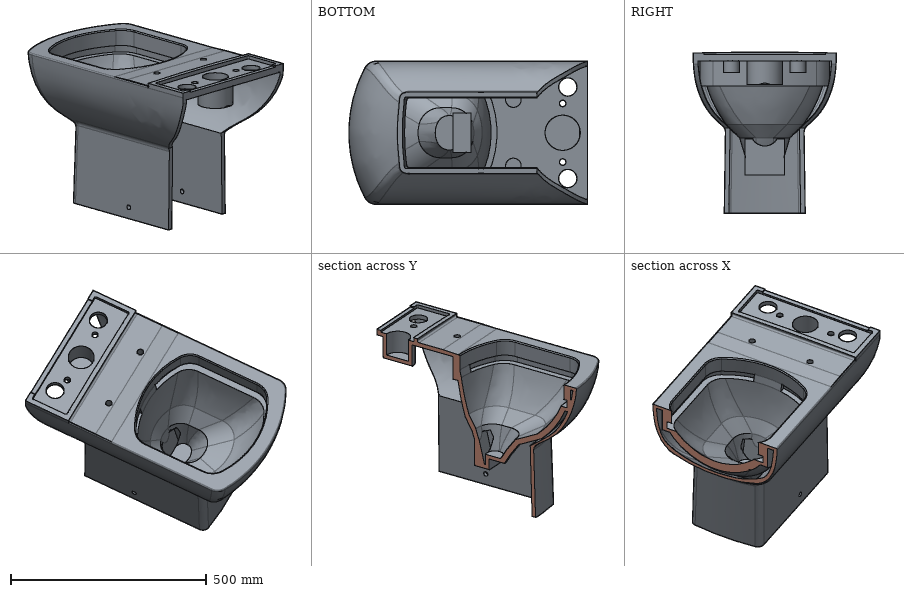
import cadquery as cq
import math

length = 610.67
half_width = 366.79 / 2
height = 413.0
rim_z = 401.0
rim_edge_radius = 3.0
wall = 12.0
overshoot = 20.0

bowl_front_radius = 356.0
bowl_levels = [
    (200.0, 131.0, 86.0),
    (216.0, 110.0, 100.0),
    (233.0, 86.0, 118.0),
    (257.0, 59.0, 141.0),
    (294.0, 32.0, 163.0),
    (333.0, 14.0, 176.0),
    (368.0, 4.0, 181.5),
    (rim_z - rim_edge_radius, 0.0, half_width),
    (rim_z, 0.0, half_width),
]
bowl_corner_low = 20.0
bowl_corner_high = 34.0

pedestal_rear_x = 481.0
pedestal_top_z = 235.0
pedestal_front_bottom = 124.5
pedestal_front_top = 132.0
pedestal_half_bottom = 103.8
pedestal_half_top = 100.5
pedestal_front_radius = 700.0
pedestal_corner = 18.0
neck_radius = 18.0

rear_curve = [
    (pedestal_rear_x, 218.0),
    (495.0, 232.0),
    (541.0, 267.0),
    (588.0, 326.0),
    (length, 382.0),
]

mouth_front, mouth_rear, mouth_half = 40.0, 357.0, 144.0
mouth_radius = 235.0
mouth_corner = 48.0
mouth = (mouth_front, mouth_rear, mouth_half, mouth_radius, mouth_corner)
lip_z = 358.0
ledge_z = 338.0
groove_depth = 10.0
groove_stop_half = 40.0
groove_stop_x = 300.0
basin_upper_levels = [
    (ledge_z, 48.0, 352.0, 136.5, 235.0, 50.0),
    (300.0, 68.0, 345.0, 122.0, 200.0, 56.0),
    (240.0, 120.0, 329.0, 87.0, 130.0, 58.0),
]
basin_sump_levels = [
    (205.0, 189.0, 308.0, 52.0, 75.0, 44.0),
    (165.0, 218.0, 293.0, 40.0, 60.0, 30.0),
    (140.0, 233.0, 281.0, 32.0, 45.0, 20.0),
]
outlet_front, outlet_rear, outlet_half = 279.0, 301.0, 38.0
outlet_bottom, outlet_top = 110.0, 190.0
outlet_floor_length = 2.0
mouth_edge_radius = 3.0

deck_z = 403.0
deck_start_x = 362.0
deck_crease_x = 408.0
plate_front_x = 486.0
plate_edge_z = 410.5
plate_rear_z = 411.0
step_fillet = 5.0
recess_floor_z = 402.0
recess_front, recess_rear, recess_half = 498.5, 598.0, 170.0
recess_corner = 4.0
rear_strip_z = 407.0
rear_strip_half = 155.0
deck_underside_z = recess_floor_z - wall

hinge_x, hinge_y, hinge_diameter = 421.0, 85.0, 16.0
bolt_x, bolt_y, bolt_diameter = 547.0, 75.0, 16.0
access_x, access_y, access_diameter = 560.0, 117.0, 46.0
flush_x, flush_diameter, flush_depth = 547.0, 66.0, 60.0
hinge_depth = 30.0
floor_bolt_x, floor_bolt_z, floor_bolt_diameter = 338.0, 30.5, 12.0


def corner_points(front, half, radius, corner):
    """Arc end, corner mid-point and side tangent of an arched end, for positive Y."""
    arc_center = front + radius
    corner_y = half - corner
    corner_x = arc_center - math.sqrt((radius - corner) ** 2 - corner_y**2)
    start = math.atan2(corner_y, arc_center - corner_x)
    middle = (start + math.pi / 2) / 2

    def on_corner(angle):
        return (corner_x - corner * math.cos(angle), corner_y + corner * math.sin(angle))

    return on_corner(start), on_corner(middle), (corner_x, half)


def mirrored(point):
    return (point[0], -point[1])


def arched_wire(z, front, rear, half, radius, corner):
    """Outline with an arched, round-cornered front and a square rear."""
    arc_end, bend, side = corner_points(front, half, radius, corner)
    return (
        cq.Workplane("XY", origin=(0, 0, z))
        .moveTo(*mirrored(arc_end))
        .threePointArc((front, 0), arc_end)
        .threePointArc(bend, side)
        .lineTo(rear, half)
        .lineTo(rear, -half)
        .lineTo(*mirrored(side))
        .threePointArc(mirrored(bend), mirrored(arc_end))
        .close()
        .val()
    )


def basin_wire(z, front, rear, half, radius, corner, grow=0.0):
    """Outline arched and round-cornered at both ends, optionally grown outwards."""
    front -= grow
    rear += grow
    half += grow
    radius += grow
    corner += grow
    front_end, front_bend, front_side = corner_points(front, half, radius, corner)

    def turned(point):
        return (front + rear - point[0], point[1])

    return (
        cq.Workplane("XY", origin=(0, 0, z))
        .moveTo(*mirrored(front_end))
        .threePointArc((front, 0), front_end)
        .threePointArc(front_bend, front_side)
        .lineTo(*turned(front_side))
        .threePointArc(turned(front_bend), turned(front_end))
        .threePointArc((rear, 0), mirrored(turned(front_end)))
        .threePointArc(mirrored(turned(front_bend)), mirrored(turned(front_side)))
        .lineTo(*mirrored(front_side))
        .threePointArc(mirrored(front_bend), mirrored(front_end))
        .close()
        .val()
    )


def loft(wires, ruled=False):
    return cq.Workplane(obj=cq.Solid.makeLoft(wires, ruled))


def box(x0, x1, half, z0, z1):
    corner_placed = (False, True, False)
    return cq.Workplane("XY", origin=(x0, 0, z0)).box(x1 - x0, 2 * half, z1 - z0, centered=corner_placed)


def cylinder(x, y, diameter, z0, z1):
    return cq.Workplane("XY", origin=(x, y, z0)).circle(diameter / 2).extrude(z1 - z0)


def bowl_loft(inset, rear):
    bottom_z = bowl_levels[0][0]
    wires = []
    for z, front, half in bowl_levels:
        rise = (z - bottom_z) / (rim_z - bottom_z)
        corner = bowl_corner_low + rise * (bowl_corner_high - bowl_corner_low)
        wires.append(
            arched_wire(z, front + inset, rear, half - inset, bowl_front_radius - inset, corner - inset)
        )
    return loft(wires)


def pedestal_loft(inset, rear):
    radius, corner = pedestal_front_radius - inset, pedestal_corner - inset
    bottom = arched_wire(
        0, pedestal_front_bottom + inset, rear, pedestal_half_bottom - inset, radius, corner
    )
    top = arched_wire(
        pedestal_top_z, pedestal_front_top + inset, rear, pedestal_half_top - inset, radius, corner
    )
    return loft([bottom, top], ruled=True)


def behind_rear_curve():
    """Everything behind the rear underside curve of the bowl."""
    far_x = length + overshoot
    low_z = -overshoot
    return (
        cq.Workplane("XZ")
        .moveTo(*rear_curve[0])
        .spline(rear_curve[1:], includeCurrent=True)
        .lineTo(far_x, rear_curve[-1][1])
        .lineTo(far_x, low_z)
        .lineTo(pedestal_rear_x, low_z)
        .close()
        .extrude(half_width + overshoot, both=True)
    )


def outer_body():
    bowl = bowl_loft(0, length).faces(">Z").edges("not >X").fillet(rim_edge_radius)
    bowl = bowl.cut(behind_rear_curve())
    body = bowl.union(pedestal_loft(0, pedestal_rear_x))
    neck_zone = cq.selectors.BoxSelector(
        (0, -half_width, bowl_levels[0][0] - neck_radius),
        (pedestal_rear_x - pedestal_corner, half_width, pedestal_top_z),
    )
    return body.edges(neck_zone).fillet(neck_radius)


def cavity():
    """Hollow under the deck and inside the pedestal, open to the floor and to the rear."""
    far_x = length + overshoot
    hollow = bowl_loft(wall, far_x).intersect(box(0, far_x, half_width, 0, deck_underside_z))
    return hollow.union(pedestal_loft(wall, far_x))


def deck():
    """Seat deck rising gently behind the mouth."""
    deck_half = half_width - rim_edge_radius
    return (
        cq.Workplane("XZ")
        .moveTo(deck_start_x, rim_z)
        .lineTo(deck_crease_x, deck_z)
        .lineTo(plate_front_x - step_fillet, deck_z)
        .radiusArc((plate_front_x, deck_z + step_fillet), -step_fillet)
        .lineTo(plate_front_x, deck_underside_z)
        .lineTo(deck_start_x, deck_underside_z)
        .close()
        .extrude(deck_half, both=True)
    )


def crowned_wire(x, edge_z, crown_z):
    return (
        cq.Workplane("YZ", origin=(x, 0, 0))
        .moveTo(-half_width, rim_z - rim_edge_radius)
        .lineTo(-half_width, edge_z)
        .threePointArc((0, crown_z), (half_width, edge_z))
        .lineTo(half_width, rim_z - rim_edge_radius)
        .close()
        .val()
    )


def cistern_plate():
    """Raised plate whose front edge is crowned, with a recess and a lowered rear strip."""
    front = crowned_wire(plate_front_x, plate_edge_z, height)
    rear = crowned_wire(length, plate_edge_z, plate_rear_z)
    plate = loft([front, rear], ruled=True)
    recess = box(recess_front, recess_rear, recess_half, recess_floor_z, height)
    recess = recess.edges("|Z").fillet(recess_corner)
    strip = box(recess_rear - recess_corner, length, rear_strip_half, rear_strip_z, height)
    return plate.cut(recess).cut(strip)


def basin_solid(grow):
    """Basin below the ledge: rounded upper part, ruled band and steeper sump."""

    def wires(levels):
        return [basin_wire(z - grow, *outline, grow=grow) for z, *outline in levels]

    upper = loft(wires(basin_upper_levels))
    band = loft(wires([basin_upper_levels[-1], basin_sump_levels[0]]), ruled=True)
    sump = loft(wires(basin_sump_levels))
    return upper.union(band).union(sump)


def basin_shell(body):
    """Solid stock around the mouth and basin, trimmed to the outer body."""
    collar_grow = groove_depth + wall
    collar_wires = [basin_wire(z, *mouth, grow=collar_grow) for z in (ledge_z - wall, rim_z)]
    basin = basin_solid(wall)
    outlet = box(
        outlet_front - wall, outlet_rear + wall, outlet_half + wall, outlet_bottom - wall, outlet_top
    )
    stock = loft(collar_wires, ruled=True).union(basin).union(outlet)
    return stock.intersect(body)


def outlet_slot():
    """Slot at the bottom of the basin with a steep sloping rear face."""
    return (
        cq.Workplane("XZ")
        .moveTo(outlet_front, outlet_top)
        .lineTo(outlet_rear, outlet_top)
        .lineTo(outlet_front + outlet_floor_length, outlet_bottom)
        .lineTo(outlet_front, outlet_bottom)
        .close()
        .extrude(outlet_half, both=True)
    )


def basin_space():
    """Mouth, undercut flushing groove, basin and outlet slot."""
    opening = loft([basin_wire(z, *mouth) for z in (lip_z, rim_z)], ruled=True)
    flare_z = rim_z - mouth_edge_radius
    flare_wires = [basin_wire(flare_z, *mouth), basin_wire(rim_z, *mouth, grow=mouth_edge_radius)]
    clearance = loft([basin_wire(z, *mouth, grow=mouth_edge_radius) for z in (rim_z, deck_z)], ruled=True)
    opening = opening.union(loft(flare_wires, ruled=True)).union(clearance)
    throat = loft([basin_wire(lip_z, *mouth), basin_wire(*basin_upper_levels[0])], ruled=True)
    groove = loft([basin_wire(z, *mouth, grow=groove_depth) for z in (ledge_z, lip_z)], ruled=True)
    groove = groove.cut(box(groove_stop_x, length, groove_stop_half, ledge_z, lip_z))
    basin = basin_solid(0)
    return opening.union(throat).union(groove).union(basin).union(outlet_slot())


def flush_inlet(body):
    """Blind tube under the centre hole of the plate."""
    floor_z = recess_floor_z - flush_depth
    tube = cylinder(flush_x, 0, flush_diameter + 2 * wall, floor_z - wall, recess_floor_z)
    return tube.intersect(body)


def hinge_bosses():
    """Solid pads under the deck that close the seat hinge holes."""
    pads = cq.Workplane("XY")
    for side in (-1, 1):
        pad = cylinder(
            hinge_x, side * hinge_y, hinge_diameter + 2 * wall, deck_z - hinge_depth - wall, rim_z
        )
        pads = pads.add(pad)
    return pads.combine()


def holes():
    cutters = cylinder(flush_x, 0, flush_diameter, recess_floor_z - flush_depth, height)
    low_z = deck_underside_z - overshoot
    for side in (-1, 1):
        hinge_hole = cylinder(hinge_x, side * hinge_y, hinge_diameter, deck_z - hinge_depth, height)
        cutters = cutters.union(hinge_hole)
        for x, y, diameter in (
            (bolt_x, bolt_y, bolt_diameter),
            (access_x, access_y, access_diameter),
        ):
            cutters = cutters.union(cylinder(x, side * y, diameter, low_z, height))
    floor_bolt = (
        cq.Workplane("XZ", origin=(floor_bolt_x, 0, floor_bolt_z))
        .circle(floor_bolt_diameter / 2)
        .extrude(half_width, both=True)
    )
    return cutters.union(floor_bolt)


body = outer_body()
result = (
    body.cut(cavity())
    .union(deck())
    .union(cistern_plate())
    .union(basin_shell(body))
    .union(flush_inlet(body))
    .union(hinge_bosses())
    .cut(basin_space())
    .cut(holes())
)